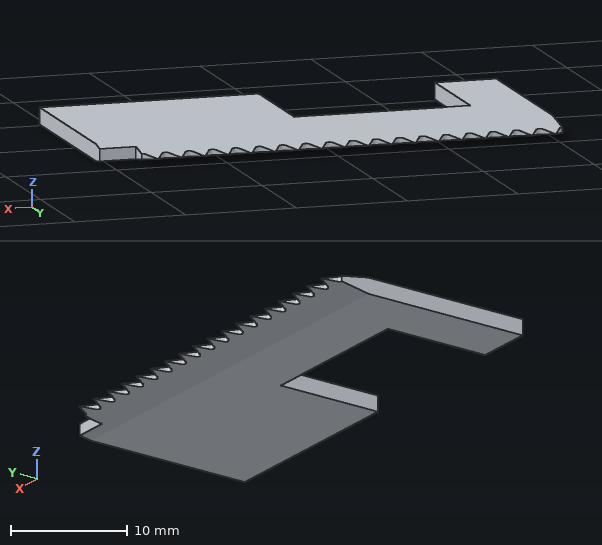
import cadquery as cq
import math

length = 41.25
width = 20.65
thickness = 1.53

bevel_width = 4.3
bevel_start = width - bevel_width

step_x = 38.0
step_y = 17.5

tooth_count = 18
tooth_pitch = step_x / tooth_count
tooth_depth = 1.45
tooth_angle = 60.0
half_angle = math.radians(tooth_angle / 2)
root_y = width - tooth_depth

sharp_depth = tooth_pitch / 2 / math.tan(half_angle)
root_radius = (sharp_depth - tooth_depth) / (1 / math.sin(half_angle) - 1)
root_half_width = root_radius * math.cos(half_angle)
flank_end_y = root_y + root_radius * (1 - math.sin(half_angle))

mid_angle = (math.pi / 2 - half_angle) / 2
mid_offset = root_radius * math.sin(mid_angle)
mid_y = root_y + root_radius * (1 - math.cos(mid_angle))

notch_start = 5.57
notch_length = 15.9
notch_depth = 10.3


def toothed_plate():
    """Flat plate with the notch, the step and the toothed edge towards +Y."""
    outline = cq.Workplane("XY").lineTo(0, root_y)
    for index in range(tooth_count):
        left = index * tooth_pitch
        right = left + tooth_pitch
        outline = (
            outline.threePointArc((left + mid_offset, mid_y), (left + root_half_width, flank_end_y))
            .lineTo((left + right) / 2, width)
            .lineTo(right - root_half_width, flank_end_y)
            .threePointArc((right - mid_offset, mid_y), (right, root_y))
        )
    notch_end = notch_start + notch_length
    return (
        outline.lineTo(step_x, step_y)
        .lineTo(length, step_y)
        .lineTo(length, 0)
        .lineTo(notch_end, 0)
        .lineTo(notch_end, notch_depth)
        .lineTo(notch_start, notch_depth)
        .lineTo(notch_start, 0)
        .close()
        .extrude(thickness)
    )


def bevelled_bar():
    """Full-length bar with the bevelled cross-section of the blade."""
    section = [
        (0, 0),
        (bevel_start, 0),
        (width, thickness / 2),
        (bevel_start, thickness),
        (0, thickness),
    ]
    return cq.Workplane("YZ").polyline(section).close().extrude(length)


result = toothed_plate().intersect(bevelled_bar())